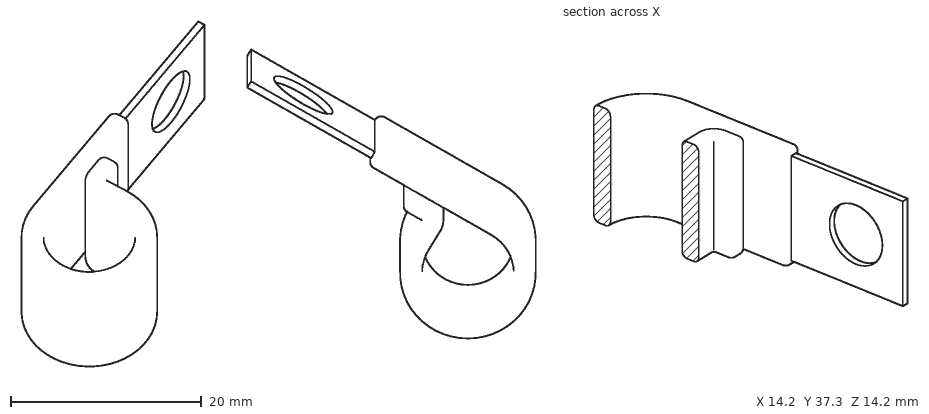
import cadquery as cq


bore_radius = 4.801
strap_thickness = 0.8
strap_width = 12.7
cushion_thickness = 0.762
arm_length = 15.07
tab_length = 15.075
hook_tip_length = 2.5
hole_diameter = 7.14
hole_to_tab_end = 6.35

section_thickness = strap_thickness + 2 * cushion_thickness
section_width = strap_width + 2 * cushion_thickness
edge_radius = cushion_thickness
loop_mid_radius = bore_radius + section_thickness / 2
loop_outer_radius = bore_radius + section_thickness
tab_end_y = arm_length + tab_length

hook_tip_x = -bore_radius + section_thickness / 2
hook_corner_x = hook_tip_x + section_thickness / 2
hook_corner_y = loop_outer_radius

loop_sweep_angle = 270
bend_angle = 90


def cushion_section(plane, center_x, center_y):
    """Rounded cushion cross-section: thickness along the plane's x, width along its y."""
    section = cq.Sketch().rect(section_thickness, section_width).vertices().fillet(edge_radius)
    return cq.Workplane(plane).center(center_x, center_y).placeSketch(section)


def make_rounded_run(center_x, start_y, end_y):
    """Straight cushioned run along +Y with every edge of its far end rounded."""
    return (
        cq.Workplane("XY")
        .box(section_thickness, end_y - start_y, section_width)
        .edges("|Y or >Y")
        .fillet(edge_radius)
        .translate((center_x, (start_y + end_y) / 2, 0))
    )


def make_arm():
    """Cushioned straight arm, tangent to the loop."""
    return make_rounded_run(-loop_mid_radius, 0, arm_length)


def make_loop():
    """Three quarters of a ring, from the arm round to the +Y side of the bore."""
    return cushion_section("XZ", -loop_mid_radius, 0).revolve(
        loop_sweep_angle, (loop_mid_radius, 0), (loop_mid_radius, 1)
    )


def make_bridge():
    """Straight run along X that joins the loop to the hook bend."""
    return cushion_section("YZ", loop_mid_radius, 0).extrude(hook_corner_x)


def make_hook_bend():
    """Quarter turn from the bridge up into the hook tip, sharp on its inner side."""
    axis_offset = section_thickness / 2
    return (
        cushion_section("XZ", hook_tip_x, 0)
        .revolve(bend_angle, (axis_offset, 0), (axis_offset, 1))
        .translate((0, hook_corner_y, 0))
    )


def make_hook_tip():
    """Short free end of the hook, resting against the arm."""
    return make_rounded_run(hook_tip_x, hook_corner_y, hook_corner_y + hook_tip_length)


def make_tab():
    """Bare strap end with its mounting hole, starting inside the cushioned arm."""
    tab = cq.Workplane("XY").box(strap_thickness, tab_end_y, strap_width)
    tab = tab.translate((-loop_mid_radius, tab_end_y / 2, 0))
    hole = (
        cq.Workplane("YZ")
        .center(tab_end_y - hole_to_tab_end, 0)
        .circle(hole_diameter / 2)
        .extrude(-2 * loop_mid_radius)
    )
    return tab.cut(hole)


result = (
    make_loop()
    .union(make_arm())
    .union(make_bridge())
    .union(make_hook_bend())
    .union(make_hook_tip())
    .union(make_tab())
)